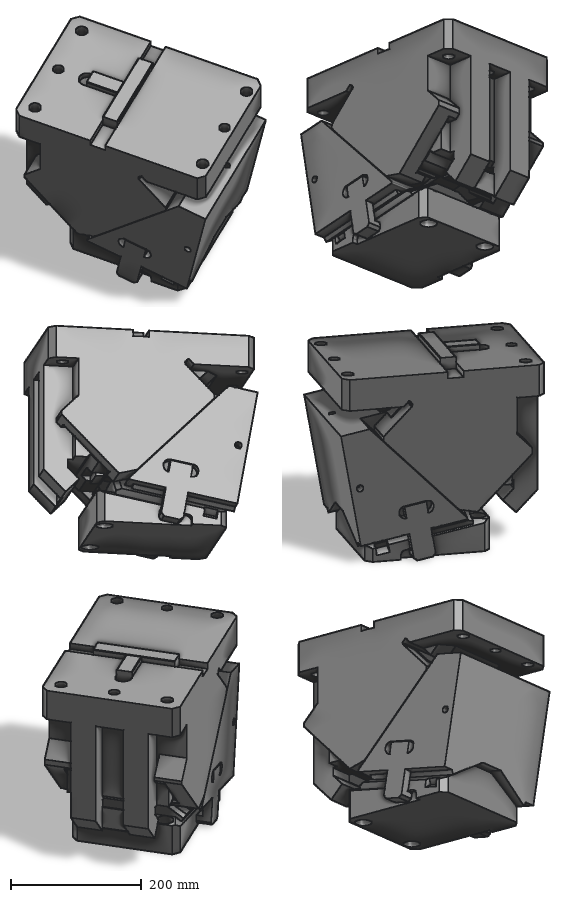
import cadquery as cq
import math

WIDTH = 220.0
HALF_WIDTH = WIDTH / 2
CORNER = 10.0

PLATE_LENGTH = 320.0
PLATE_THICKNESS = 50.0
BOLT_DIAMETER = 18.0
DOWEL_DIAMETER = 16.5
REAR_HOLES_X = 25.0
FRONT_HOLES_X = 305.0
REAR_BOLT_Y = 85.0
FRONT_BOLT_Y = 80.0

KEY_HEIGHT = 9.0
KEY_SEAT_DEPTH = 10.0
KEY_WIDTH = 25.0
KEY_X = 130.0
CROSS_KEY_LENGTH = 130.2
ARM_START_X = 78.5
ARM_SEAT_START_X = 61.0
KEY_EDGE = 1.0

CORE_HALF_WIDTH = 81.0
CORE_REAR_X = 45.3
CORE_TOP_Z = -13.3
CORE_BOTTOM_Z = -197.5
CORE_HEEL_X = 64.5
CORE_HEEL_CHAMFER = 5.0
CORE_TOE_Z = -205.0
PAD_X = 88.5
PAD_LENGTH = 13.0
PAD_BOTTOM_Z = -209.5
CHANNEL_HALF_WIDTH = 22.0
CHANNEL_DEPTH = 35.5
CHANNEL_CHAMFER = 7.8
HOOK_HALF_WIDTH = 62.0
HOOK_ROOT_X = 37.5
HOOK_BEVEL_TOP_Z = -215.3
HOOK_TIP_X = 34.0
HOOK_LIP = 30.0
HOOK_BAR_BOTTOM_Z = -246.0

CHEEK_NECK_INNER_Y = 66.0
CHEEK_SHOULDER_Z = -108.0
CHEEK_NECK_BOTTOM_Z = -148.3
RIGHT_CHEEK_TIP_X = 18.8
RIGHT_CHEEK_TOE = (107.8, -229.5)
LEFT_CHEEK_TIP_X = 21.0
LEFT_CHEEK_TOE = (107.2, -227.5)
CHEEK_TOE_END = (136.5, -222.0)
CHEEK_NOSE_X = 256.5
CHEEK_NOSE_TOP_Z = -95.5

SLOT_END = (213.0, -44.5)
SLOT_WIDTH = 8.5
SLOT_LENGTH = 81.0
WEDGE_TIP = (247.5, -73.0)
WEDGE_LENGTH = 34.0
WEDGE_DEPTH = 40.0
WEDGE_HALF_WIDTH = 76.0
WEDGE_BEVEL = 12.5

TILT = 10.0
SLIDER_TOP = (323.8, -89.5)
SLIDER_FACE = 181.3
SLIDE_LINE = -359.8
RIB_LINE = -311.5
RIB_TOE_X = 102.3
RIB_TOE_STEP = 3.2
RIB_BOTTOM_Z = -219.5
RIB_HALF_WIDTH = 54.0
SLIDER_HEEL_RADIUS = 2.0
GIB_REAR_U = -161.0
GIB_CORNER_Y = 87.8
GIB_DROP = 6.8
SIDE_HOLE = (293.7, -175.2)
SIDE_HOLE_DIAMETER = 10.5
TOP_HOLE_X = 309.0
TOP_HOLE_DIAMETER = 9.7
TAPPED_DEPTH = 19.5
DRILL_POINT_ANGLE = 118.0

LEG_U = -95.5
LEG_WIDTH = 35.0
LEG_TOP_W = 44.5
LEG_BOTTOM_W = -45.3
LEG_THICKNESS = 14.2
LEG_CHAMFER = 5.0
FOOT_TOP_W = -31.7
LEG_SEAT_W = 35.5
LEG_SEAT_LENGTH = 55.0
LEG_SEAT_HEIGHT = 20.0

ROOF_ANGLE = 30.0
RIDGE_HALF_WIDTH = 22.0

DRIVER_X = 80.0
DRIVER_LENGTH = 199.8
DRIVER_REAR_HALF_WIDTH = 85.8
DRIVER_HALF_WIDTH = 95.0
DRIVER_BOTTOM_Z = -300.0
DRIVER_LEDGE_Z = -249.5
RIDGE_REAR_U = -184.5
STEP_U = -95.5
ROOF_CLEARANCE = 3.2
LINER_THICKNESS = 12.5
LINER_HALF_WIDTH = 88.0
LEAD_IN_LENGTH = 8.0
LEAD_IN_DROP = 5.5
POCKET_U = -46.0
POCKET_LENGTH = 20.7
POCKET_DROP = 15.5
POCKET_INNER_Y = 82.5
LEDGE_HOLE = (95.0, 60.0)
LEDGE_HOLE_DIAMETER = 26.0
FOOT_RECESS_W = -29.5
FOOT_RECESS_FRONT_X = 225.0
FOOT_RECESS_RADIUS = 8.0

FAR = 194.3

SIN = math.sin(math.radians(TILT))
COS = math.cos(math.radians(TILT))
ROOF_SLOPE = math.tan(math.radians(ROOF_ANGLE))
TRACK_X = SLIDER_TOP[0] - SLIDER_FACE * SIN
TRACK_Z = SLIDER_TOP[1] - SLIDER_FACE * COS


def track_point(u, w):
    """X and Z of a point given along (u) and normal to (w) the tilted track."""
    return (TRACK_X + u * COS + w * SIN, TRACK_Z - u * SIN + w * COS)


def side_slab(points, y_start, y_end):
    """XZ outline extruded from y_start to y_end."""
    return cq.Workplane("XZ", origin=(0, y_start, 0)).polyline(points).close().extrude(y_start - y_end)


def channel_box(x_start, x_end, z_start, z_end):
    """Box as wide as the rear channel of the mount."""
    box = cq.Workplane("XY").box(
        x_end - x_start, 2 * CHANNEL_HALF_WIDTH, z_end - z_start, centered=(False, True, False)
    )
    return box.translate((x_start, 0, z_start))


def track_plane(u):
    """Cross-section plane of the track: local x is Y, local y is W."""
    x, z = track_point(u, 0)
    return cq.Plane(origin=(x, 0, z), xDir=(0, 1, 0), normal=(COS, 0, -SIN))


def track_prism(section, u_start, u_end):
    """Cross-section extruded along the track."""
    return cq.Workplane(track_plane(u_start)).polyline(section).close().extrude(u_end - u_start)


def mirrored(points):
    """Symmetric closed section from its +Y half."""
    return points + [(-y, w) for y, w in reversed(points)]


def roof_w(y, drop=0.0):
    """Height of the sloping roof face at a distance y from the middle plane."""
    return (GIB_CORNER_Y - y) * ROOF_SLOPE - GIB_DROP - drop


def roof_section(drop):
    """Everything below a roof that lies the given drop below the sliding faces."""
    ridge = (RIDGE_HALF_WIDTH, roof_w(RIDGE_HALF_WIDTH, drop))
    return mirrored([ridge, (FAR, roof_w(FAR, drop)), (FAR, -FAR)])


def drilled_hole(mouth, direction, diameter):
    """Blind tapping hole with a conical drill point."""
    radius = diameter / 2
    axis = cq.Vector(*direction)
    mouth = cq.Vector(*mouth)
    shaft = cq.Solid.makeCylinder(radius, TAPPED_DEPTH, mouth, axis)
    point_height = radius / math.tan(math.radians(DRILL_POINT_ANGLE / 2))
    point = cq.Solid.makeCone(radius, 0, point_height, mouth + axis * TAPPED_DEPTH, axis)
    return cq.Workplane(shaft).union(cq.Workplane(point))


def vertical_holes(points, diameter, z_top, depth):
    return cq.Workplane("XY", origin=(0, 0, z_top)).pushPoints(points).circle(diameter / 2).extrude(-depth)


def mount_plate():
    plate = (
        cq.Workplane("XY")
        .box(PLATE_LENGTH, WIDTH, PLATE_THICKNESS, centered=(False, True, False))
        .translate((0, 0, -PLATE_THICKNESS))
        .edges("|Z")
        .chamfer(CORNER)
    )
    return plate


def mount_core():
    heel_top_z = CORE_BOTTOM_Z + CORE_HEEL_CHAMFER
    heel_x = CORE_HEEL_X + CORE_HEEL_CHAMFER
    rib_top_x, rib_top_z = rib_corner()
    slot_root_x = rib_top_x + rib_top_z
    core = side_slab(
        [
            (CORE_REAR_X, CORE_TOP_Z),
            (CORE_REAR_X, CORE_BOTTOM_Z),
            (CORE_HEEL_X, CORE_BOTTOM_Z),
            (heel_x, heel_top_z),
            (heel_x + heel_top_z - CORE_TOE_Z, CORE_TOE_Z),
            (CORE_TOE_Z - RIB_LINE, CORE_TOE_Z),
            (rib_top_x, rib_top_z),
            (slot_root_x - CORE_TOP_Z, CORE_TOP_Z),
        ],
        -CORE_HALF_WIDTH,
        CORE_HALF_WIDTH,
    )
    web = side_slab(
        [
            (CHANNEL_DEPTH, -PLATE_THICKNESS),
            (CHANNEL_DEPTH, CORE_BOTTOM_Z + CHANNEL_CHAMFER),
            (CHANNEL_DEPTH + CHANNEL_CHAMFER, CORE_BOTTOM_Z),
            (CORE_REAR_X, CORE_BOTTOM_Z),
            (CORE_REAR_X, -PLATE_THICKNESS),
        ],
        -HOOK_HALF_WIDTH,
        HOOK_HALF_WIDTH,
    )
    pad_relief = channel_box(CORE_HEEL_X, PAD_X, PAD_BOTTOM_Z, CORE_BOTTOM_Z)
    pad = channel_box(PAD_X, PAD_X + PAD_LENGTH, PAD_BOTTOM_Z, CORE_BOTTOM_Z)
    return core.union(web).cut(pad_relief).union(pad)


def hook_outline():
    tip_z = HOOK_BEVEL_TOP_Z - HOOK_TIP_X
    lip = HOOK_LIP / math.sqrt(2)
    lip_end = (HOOK_TIP_X + lip, tip_z + lip)
    throat_rise = lip_end[0] - HOOK_ROOT_X
    return [
        (0, -PLATE_THICKNESS),
        (0, HOOK_BEVEL_TOP_Z),
        (HOOK_TIP_X, tip_z),
        lip_end,
        (HOOK_ROOT_X, lip_end[1] + throat_rise),
        (HOOK_ROOT_X, CORE_BOTTOM_Z),
        (CORE_REAR_X, CORE_BOTTOM_Z),
        (CORE_REAR_X, -PLATE_THICKNESS),
    ]


def rear_hooks():
    """Two hooks along the rear, joined across the channel by a bar between their lips."""
    whole = side_slab(hook_outline(), -HOOK_HALF_WIDTH, HOOK_HALF_WIDTH)
    bar = whole.intersect(channel_box(CHANNEL_DEPTH, HOOK_TIP_X + HOOK_LIP, HOOK_BAR_BOTTOM_Z, PAD_BOTTOM_Z))
    return whole.cut(channel_box(0, CORE_REAR_X + HOOK_LIP, -2 * FAR, 0)).union(bar)


def cheek(side, tip_x, toe):
    """Side cheek; its rear tip is cut off at tip_x and its lower rear face ends at the toe."""
    outline = [
        (CORE_REAR_X, -PLATE_THICKNESS),
        (CORE_REAR_X, CHEEK_SHOULDER_Z),
        (tip_x, CHEEK_SHOULDER_Z - CORE_REAR_X + tip_x),
        (tip_x, toe[1] + toe[0] - tip_x),
        toe,
        CHEEK_TOE_END,
        (CHEEK_NOSE_X, CHEEK_TOE_END[1] + CHEEK_NOSE_X - CHEEK_TOE_END[0]),
        (CHEEK_NOSE_X, CHEEK_NOSE_TOP_Z),
        (CHEEK_NOSE_X + CHEEK_NOSE_TOP_Z + PLATE_THICKNESS, -PLATE_THICKNESS),
    ]
    wing = side_slab(outline, side * CORE_HALF_WIDTH, side * HALF_WIDTH)
    neck = side_slab(outline, side * CHEEK_NECK_INNER_Y, side * CORE_HALF_WIDTH)
    neck_limit = cq.Workplane("XY").box(CORE_REAR_X, WIDTH, FAR, centered=(False, True, False))
    neck = neck.intersect(neck_limit.translate((0, 0, CHEEK_NECK_BOTTOM_Z)))
    foot = side_slab(outline, side * HOOK_HALF_WIDTH, side * CORE_HALF_WIDTH)
    foot_limit = cq.Workplane("XY", origin=(0, 0, RIB_BOTTOM_Z)).rect(2 * FAR, WIDTH).extrude(-FAR)
    guide = side_slab(outline, side * RIB_HALF_WIDTH, side * CORE_HALF_WIDTH)
    guide_start_x = RIB_BOTTOM_Z - SLIDE_LINE
    guide_limit = cq.Workplane("YZ", origin=(guide_start_x, 0, 0)).rect(WIDTH, 4 * FAR).extrude(FAR)
    return wing.union(neck).union(foot.intersect(foot_limit)).union(guide.intersect(guide_limit))


def wedge():
    """Bevelled wedge under the plate, in front of the slanted slot."""
    section = mirrored(
        [
            (RIB_HALF_WIDTH, 0),
            (WEDGE_HALF_WIDTH, WEDGE_BEVEL),
            (WEDGE_HALF_WIDTH, WEDGE_DEPTH),
        ]
    )
    plane = cq.Plane(origin=(WEDGE_TIP[0], 0, WEDGE_TIP[1]), xDir=(0, 1, 0), normal=(1, 0, 1))
    return cq.Workplane(plane).polyline(section).close().extrude(WEDGE_LENGTH)


def slanted_slot():
    slot = cq.Workplane("XY").box(SLOT_LENGTH, WIDTH, SLOT_WIDTH, centered=(False, True, True))
    return slot.rotate((0, 0, 0), (0, 1, 0), 45).translate((SLOT_END[0], 0, SLOT_END[1]))


def key_seat():
    groove = cq.Workplane("XY").box(KEY_WIDTH, WIDTH, KEY_SEAT_DEPTH, centered=(False, True, False))
    arm_seat = (
        cq.Workplane("XY")
        .center(ARM_SEAT_START_X + KEY_WIDTH / 2, 0)
        .circle(KEY_WIDTH / 2)
        .extrude(KEY_SEAT_DEPTH)
    )
    arm_length = KEY_X - ARM_SEAT_START_X - KEY_WIDTH / 2
    straight = cq.Workplane("XY").box(arm_length, KEY_WIDTH, KEY_SEAT_DEPTH, centered=(False, True, False))
    straight = straight.translate((KEY_X - arm_length, 0, 0))
    seat = groove.translate((KEY_X, 0, 0)).union(arm_seat).union(straight)
    return seat.translate((0, 0, -KEY_SEAT_DEPTH))


def key():
    height = KEY_SEAT_DEPTH + KEY_HEIGHT
    cross = cq.Workplane("XY").box(KEY_WIDTH, CROSS_KEY_LENGTH, height, centered=(False, True, False))
    cross = cross.edges("|Y and >Z").chamfer(KEY_EDGE)
    arm = cq.Workplane("XY").box(KEY_X - ARM_START_X, KEY_WIDTH, height, centered=(False, True, False))
    arm = arm.edges("|X and >Z").chamfer(KEY_EDGE)
    both = cross.translate((KEY_X, 0, 0)).union(arm.translate((ARM_START_X, 0, 0)))
    return both.translate((0, 0, -KEY_SEAT_DEPTH))


def make_mount():
    body = mount_plate().union(mount_core()).union(wedge()).union(rear_hooks())
    body = body.union(cheek(-1, RIGHT_CHEEK_TIP_X, RIGHT_CHEEK_TOE))
    body = body.union(cheek(1, LEFT_CHEEK_TIP_X, LEFT_CHEEK_TOE))
    body = body.cut(slanted_slot()).cut(key_seat()).union(key())
    bolt_rows = ((REAR_HOLES_X, REAR_BOLT_Y), (FRONT_HOLES_X, FRONT_BOLT_Y))
    bolts = [(x, side * y) for x, y in bolt_rows for side in (-1, 1)]
    body = body.cut(vertical_holes(bolts, BOLT_DIAMETER, 0, PLATE_THICKNESS))
    dowels = [(REAR_HOLES_X, 0), (FRONT_HOLES_X, 0)]
    return body.cut(vertical_holes(dowels, DOWEL_DIAMETER, 0, PLATE_THICKNESS))


def track_crossing(start, line):
    """Where the tilted line through start meets the 45 degree line with the given Z - X."""
    tilt_slope = SIN / COS
    x = (start[1] + start[0] * tilt_slope - line) / (1 + tilt_slope)
    return (x, x + line)


def rib_corner():
    """Upper front corner of the middle rib."""
    return track_crossing(SLIDER_TOP, RIB_LINE)


def slider_block():
    block = side_slab(
        [
            SLIDER_TOP,
            track_point(0, 0),
            track_crossing((TRACK_X, TRACK_Z), SLIDE_LINE),
            track_crossing(SLIDER_TOP, SLIDE_LINE),
        ],
        -HALF_WIDTH,
        HALF_WIDTH,
    )
    toe_front_x = RIB_BOTTOM_Z - SLIDE_LINE
    toe_z = RIB_TOE_X + RIB_LINE
    step_x = RIB_TOE_X + RIB_TOE_STEP
    step_z = toe_z - RIB_TOE_STEP
    rib = side_slab(
        [
            track_crossing(SLIDER_TOP, SLIDE_LINE),
            rib_corner(),
            (RIB_TOE_X, toe_z),
            (step_x, step_z),
            (step_x + RIB_BOTTOM_Z - step_z, RIB_BOTTOM_Z),
            (toe_front_x, RIB_BOTTOM_Z),
        ],
        -CORE_HALF_WIDTH,
        CORE_HALF_WIDTH,
    )
    gib_outer_y = GIB_CORNER_Y + GIB_DROP * ROOF_SLOPE
    gibs = track_prism(mirrored([(gib_outer_y, 0), (GIB_CORNER_Y, -GIB_DROP)]), GIB_REAR_U, 0)
    block = block.edges("|Y").edges("<X").fillet(SLIDER_HEEL_RADIUS)
    rib_toe = rib.intersect(cq.Workplane("XY").box(2 * toe_front_x, WIDTH, 4 * FAR))
    slim_rib = rib.intersect(cq.Workplane("XY").box(4 * FAR, 2 * RIB_HALF_WIDTH, 4 * FAR))
    rib = rib_toe.union(slim_rib)
    return block.union(rib).union(gibs).cut(track_prism(roof_section(0), -2 * FAR, FAR))


def leg_slab(bottom, top, inner_y):
    """Upright slab of the return hook on the -Y side, from inner_y out to the slider's side."""
    half = LEG_WIDTH / 2
    corners = [(LEG_U - half, bottom), (LEG_U + half, bottom), (LEG_U + half, top), (LEG_U - half, top)]
    return side_slab([track_point(u, w) for u, w in corners], -HALF_WIDTH, -inner_y)


def return_hook(side):
    inner_y = HALF_WIDTH - LEG_THICKNESS
    hook = leg_slab(LEG_BOTTOM_W, LEG_TOP_W, inner_y)
    hook = hook.union(leg_slab(LEG_BOTTOM_W, FOOT_TOP_W, DRIVER_REAR_HALF_WIDTH))
    half = LEG_WIDTH / 2
    for end in (-1, 1):
        corner = [
            (LEG_U + end * half, LEG_BOTTOM_W),
            (LEG_U + end * (half - LEG_CHAMFER), LEG_BOTTOM_W),
            (LEG_U + end * half, LEG_BOTTOM_W + LEG_CHAMFER),
        ]
        hook = hook.cut(side_slab([track_point(u, w) for u, w in corner], -HALF_WIDTH, 0))
    return hook if side < 0 else hook.mirror("XZ")


def hook_seat(side):
    """Round-ended recess in the slider's side that holds the head of the return hook."""
    x, z = track_point(LEG_U, LEG_SEAT_W)
    seat = (
        cq.Workplane("XZ", origin=(x, side * HALF_WIDTH, z))
        .slot2D(LEG_SEAT_LENGTH, LEG_SEAT_HEIGHT, -TILT)
        .extrude(side * LEG_THICKNESS)
    )
    return seat


def make_slider():
    body = slider_block()
    for side in (-1, 1):
        body = body.cut(hook_seat(side)).union(return_hook(side))
        side_mouth = (SIDE_HOLE[0], side * HALF_WIDTH, SIDE_HOLE[1])
        body = body.cut(drilled_hole(side_mouth, (0, -side, 0), SIDE_HOLE_DIAMETER))
    top_z = SLIDER_TOP[1] + (SLIDER_TOP[0] - TOP_HOLE_X) * SIN / COS
    top_mouth = (TOP_HOLE_X, 0, top_z)
    return body.cut(drilled_hole(top_mouth, (-SIN, 0, -COS), TOP_HOLE_DIAMETER))


def driver_footprint(half_width):
    """Upright block with chamfered corners, reaching above the whole driver."""
    return (
        cq.Workplane("XY", origin=(DRIVER_X, 0, DRIVER_BOTTOM_Z))
        .box(DRIVER_LENGTH, 2 * half_width, FAR, centered=(False, True, False))
        .edges("|Z")
        .chamfer(CORNER)
    )


def driver_block():
    """Narrow rear part with a level ledge and a low roof, and wide front part with the full roof."""
    liner_seat = track_prism(roof_section(ROOF_CLEARANCE + LINER_THICKNESS), -2 * FAR, STEP_U)
    full_roof = track_prism(roof_section(ROOF_CLEARANCE), STEP_U, FAR)
    rear = liner_seat.intersect(driver_footprint(DRIVER_REAR_HALF_WIDTH))
    front = full_roof.intersect(driver_footprint(DRIVER_HALF_WIDTH))
    above_ledge = cq.Workplane("XY", origin=(0, 0, DRIVER_LEDGE_Z)).box(
        2 * FAR, 2 * FAR, FAR, centered=(True, True, False)
    )
    behind_ridge = cq.Workplane(track_plane(RIDGE_REAR_U)).rect(2 * FAR, 2 * FAR).extrude(-FAR)
    return rear.cut(above_ledge.intersect(behind_ridge)).union(front)


def liner_section(drop):
    """Chevron of the raised roof liner, its top lowered by the drop."""
    normal_y = math.sin(math.radians(ROOF_ANGLE))
    normal_w = math.cos(math.radians(ROOF_ANGLE))
    outer_w = roof_w(LINER_HALF_WIDTH, ROOF_CLEARANCE)

    def edge_point(depth):
        thickness = depth * normal_w
        return (LINER_HALF_WIDTH - thickness * normal_y, outer_w - thickness * normal_w)

    ridge_w = roof_w(RIDGE_HALF_WIDTH, ROOF_CLEARANCE)
    half = [
        (RIDGE_HALF_WIDTH, ridge_w - drop),
        edge_point(drop),
        edge_point(LINER_THICKNESS),
        (RIDGE_HALF_WIDTH, ridge_w - LINER_THICKNESS),
    ]
    return mirrored(half)


def roof_liner():
    lead_in_end = RIDGE_REAR_U + LEAD_IN_LENGTH
    lead_in = (
        cq.Workplane(track_plane(RIDGE_REAR_U))
        .polyline(liner_section(LEAD_IN_DROP))
        .close()
        .workplane(offset=LEAD_IN_LENGTH)
        .polyline(liner_section(0))
        .close()
        .loft(ruled=True)
    )
    return lead_in.union(track_prism(liner_section(0), lead_in_end, STEP_U))


def side_pocket(side):
    """Pocket in the driver's side, its floor parallel to the roof face."""
    floor_w = roof_w(POCKET_INNER_Y, POCKET_DROP)
    section = [
        (POCKET_INNER_Y, floor_w),
        (FAR, roof_w(FAR, POCKET_DROP)),
        (FAR, FAR),
        (POCKET_INNER_Y + (FAR - floor_w) * ROOF_SLOPE, FAR),
    ]
    return track_prism([(side * y, w) for y, w in section], POCKET_U, POCKET_U + POCKET_LENGTH)


def foot_recess(side):
    """Recess in the wide part's side, open at the bottom, for the foot of the return hook."""
    rear_x, rear_z = track_point(STEP_U - LEG_WIDTH, FOOT_RECESS_W)
    front_z = rear_z - (FOOT_RECESS_FRONT_X - rear_x) * SIN / COS
    outline = [
        (rear_x, rear_z),
        (FOOT_RECESS_FRONT_X, front_z),
        (FOOT_RECESS_FRONT_X, DRIVER_BOTTOM_Z),
        (rear_x, DRIVER_BOTTOM_Z),
    ]
    recess = side_slab(outline, side * DRIVER_REAR_HALF_WIDTH, side * DRIVER_HALF_WIDTH)
    return recess.edges("|Y").edges(">X").edges(">Z").fillet(FOOT_RECESS_RADIUS)


def make_driver():
    body = driver_block().union(roof_liner())
    for side in (-1, 1):
        body = body.cut(side_pocket(side)).cut(foot_recess(side))
    ledge_holes = [(LEDGE_HOLE[0], side * LEDGE_HOLE[1]) for side in (-1, 1)]
    return body.cut(
        vertical_holes(ledge_holes, LEDGE_HOLE_DIAMETER, DRIVER_LEDGE_Z, DRIVER_LEDGE_Z - DRIVER_BOTTOM_Z)
    )


mount = make_mount()
slider = make_slider()
driver = make_driver()
result = cq.Compound.makeCompound([mount.val(), slider.val(), driver.val()])